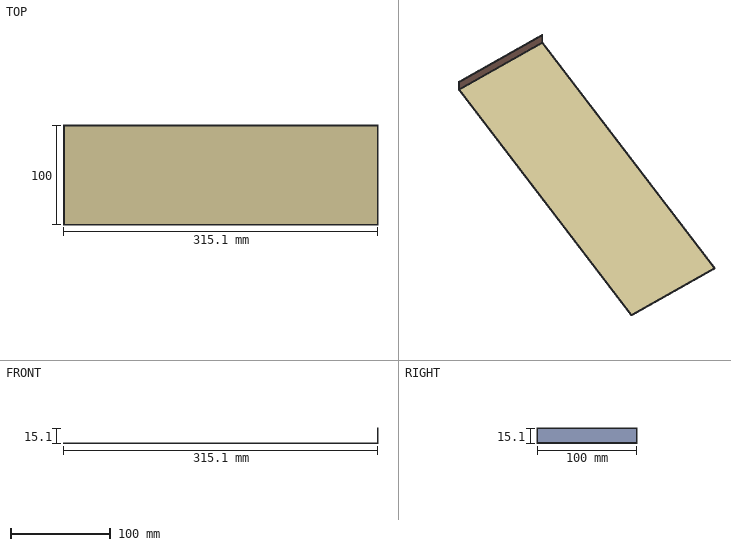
import cadquery as cq

thickness = 0.1
inner_length = 315.0
inner_height = 15.0
width = 100.0

length = inner_length + thickness
height = inner_height + thickness


def folded_sheet():
    """L-shaped sheet: a long flat base with an upright lip at its +X end."""
    return (
        cq.Workplane("XZ")
        .moveTo(0, 0)
        .lineTo(length, 0)
        .lineTo(length, height)
        .lineTo(inner_length, height)
        .lineTo(inner_length, thickness)
        .lineTo(0, thickness)
        .close()
        .extrude(width / 2, both=True)
    )


result = folded_sheet()